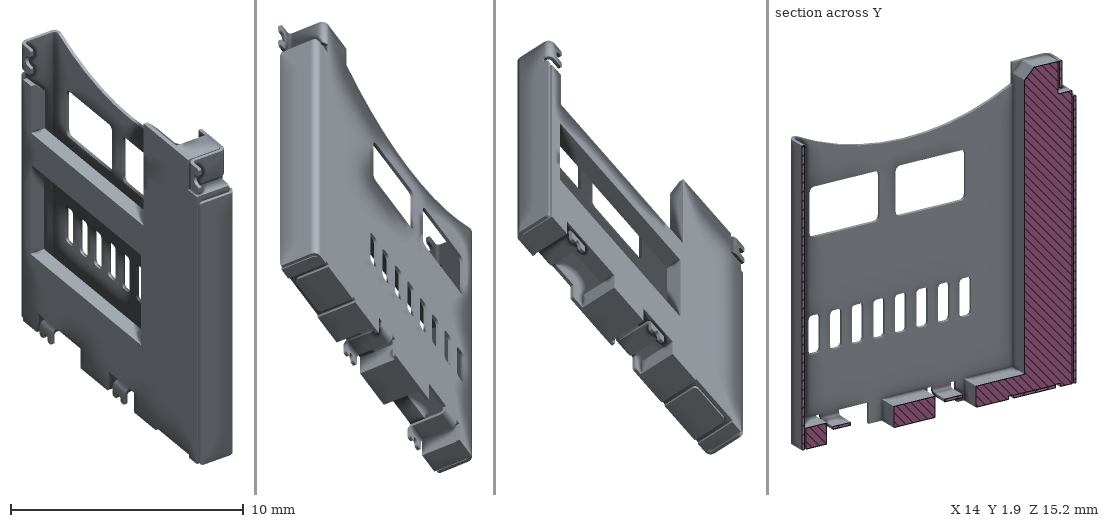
import cadquery as cq
import math


width = 14.0
height = 15.2
total_depth = 1.9
back_y = total_depth / 2
half_width = width / 2

sheet = 0.15
bend_inner = 0.15
bend_outer = bend_inner + sheet
wall_depth = 1.81
wall_corner_radius = 0.17
left_wall_top = 14.2
left_wall_shoulder = 12.59
left_neck_depth = 1.54
right_wall_top = 13.4

finger_cutout_radius = 12.01
finger_cutout_x = -1.12
finger_cutout_bottom = 12.86
tower_plate_left = 4.35
view_window_size = (3.57, 2.35)
view_window_bottom = 9.33
view_window_centers = (-4.21, 0.18)
view_window_radius = 0.25
slot_count = 8
slot_row_span = 7.7
slot_pitch = slot_row_span / (slot_count - 1)
slot_size = (0.6, 1.81)
slot_bottom = 3.89
slot_radius = 0.18
slots_center_x = -1.9

lip_reach = 0.85
lip_width = 1.29
lip_notch_width = 0.5
lip_notch_depth = 0.4
foot_reach = 0.76
foot_width = 0.93
foot_notch_width = 0.3
foot_notch_depth = 0.3
tip_radius = 0.1
foot_gap = 0.26
left_foot_x = -4.95
right_foot_x = 0.75
left_foot_opening_right = -2.98
right_foot_opening_radius = 0.1
right_lip_x = half_width - lip_reach

flange_left = 3.8
flange_right = 5.96
flange_depth = 1.67
flange_corner_radius = 0.2
flange_gap = 0.23

side_clearance = 0.053
housing_half_width = half_width - sheet - side_clearance
tower_right = right_lip_x - side_clearance
housing_depth = 1.85
right_shoulder = 13.68
left_horn_top = 12.35
mouth_left = -6.15
mouth_right = 2.65
mouth_bottom = 9.95
cavity_depth = 1.15
cavity_right = 4.36
lead_in = 0.5
floor_height = 1.0
contact_window = (-6.22, 2.43, 3.74, 8.35)
left_foot_bay = (-5.72, -2.31)
right_foot_bay = (-0.2, 1.88)
foot_opening_height = floor_height

select_margin = 0.02


def block(x0, x1, depth0, depth1, z0, z1):
    """Box between two X, two depth and two Z limits."""
    return cq.Workplane("XY").box(x1 - x0, depth1 - depth0, z1 - z0, centered=False).translate(
        (x0, back_y - depth1, z0)
    )


def near(x, depth, z0, z1):
    """Selector for edges centred close to one X and depth, between two Z limits."""
    y = back_y - depth
    low_corner = (x - select_margin, y - select_margin, z0 - select_margin)
    high_corner = (x + select_margin, y + select_margin, z1 + select_margin)
    return cq.selectors.BoxSelector(low_corner, high_corner)


def quarter_arc(profile, center, radius, start, end):
    """Continue a profile along a circle about `center`, from one angle to another in degrees."""

    def on_circle(degrees):
        angle = math.radians(degrees)
        return (center[0] + radius * math.cos(angle), center[1] + radius * math.sin(angle))

    return profile.threePointArc(on_circle((start + end) / 2), on_circle(end))


def back_bend(strip_width):
    """Sheet turning from the back plate (local -X) to the depth direction."""
    profile = cq.Workplane("XY").moveTo(-bend_inner, 0)
    profile = quarter_arc(profile, (-bend_inner, bend_outer), bend_outer, -90, 0)
    profile = profile.lineTo(0, bend_outer)
    profile = quarter_arc(profile, (-bend_inner, bend_outer), bend_inner, 0, -90)
    return profile.close().extrude(strip_width / 2, both=True)


def solder_lip(reach, strip_width, notch_width, notch_depth):
    """Strip running forward, turning to local +X and ending in a tip with a round-bottomed notch."""
    bend_start = total_depth - bend_outer
    profile = cq.Workplane("XY").moveTo(0, bend_outer).lineTo(sheet, bend_outer).lineTo(sheet, bend_start)
    profile = quarter_arc(profile, (bend_outer, bend_start), bend_inner, 180, 90)
    profile = profile.lineTo(reach, total_depth - sheet).lineTo(reach, total_depth)
    profile = profile.lineTo(bend_outer, total_depth)
    profile = quarter_arc(profile, (bend_outer, bend_start), bend_outer, 90, 180)
    lip = profile.close().extrude(strip_width / 2, both=True)
    slot_length = 2 * notch_depth
    notch = (
        cq.Workplane("XZ", origin=(reach, total_depth - bend_outer, 0))
        .slot2D(slot_length, notch_width)
        .extrude(-2 * bend_outer)
    )
    return lip.cut(notch).edges("|Y and >X").fillet(tip_radius)


def placed(body, origin, tip_direction, across):
    """Move a bent piece from its local axes to the shell."""
    plane = cq.Plane(origin=origin, xDir=tip_direction, normal=across)
    return cq.Workplane(body.val().moved(cq.Location(plane)))


def back_plate():
    plate_edge = half_width - bend_outer
    arc_center_z = finger_cutout_bottom + finger_cutout_radius

    def arc_z(x):
        return arc_center_z - math.sqrt(finger_cutout_radius**2 - (x - finger_cutout_x) ** 2)

    arc_left = finger_cutout_x - math.sqrt(
        finger_cutout_radius**2 - (arc_center_z - left_wall_top) ** 2
    )
    plate = (
        cq.Workplane("XZ", origin=(0, back_y, 0))
        .moveTo(-plate_edge, 0)
        .lineTo(plate_edge, 0)
        .lineTo(plate_edge, right_wall_top)
        .lineTo(right_lip_x - bend_inner, right_wall_top)
        .lineTo(right_lip_x - bend_inner, height)
        .lineTo(tower_plate_left, height)
        .lineTo(tower_plate_left, arc_z(tower_plate_left))
        .threePointArc((finger_cutout_x, finger_cutout_bottom), (arc_left, left_wall_top))
        .lineTo(-plate_edge, left_wall_top)
        .close()
        .extrude(sheet)
    )
    for center_x in view_window_centers:
        plate = plate.cut(rounded_opening(center_x, view_window_bottom, view_window_size, view_window_radius))
    for index in range(slot_count):
        center_x = slots_center_x - slot_row_span / 2 + index * slot_pitch
        plate = plate.cut(rounded_opening(center_x, slot_bottom, slot_size, slot_radius))
    return plate


def rounded_opening(center_x, bottom, size, radius):
    """Cutter for a round-cornered opening through the back plate."""
    opening_width, opening_height = size
    left = center_x - opening_width / 2
    cutter = block(left, left + opening_width, 0, sheet, bottom, bottom + opening_height)
    return cutter.edges("|Y").fillet(radius)


def side_wall(side, plate_corner_top, wall_top):
    """Side wall with its bend to the back plate; `side` is -1 for left and 1 for right."""
    wall = block(half_width - sheet, half_width, bend_outer, wall_depth, 0, wall_top)
    wall = wall.edges("|X and <Y").fillet(wall_corner_radius)
    origin = (half_width - sheet, back_y, plate_corner_top / 2)
    corner = placed(back_bend(plate_corner_top), origin, (1, 0, 0), (0, 0, -1))
    wall = wall.union(corner)
    if side < 0:
        wall = wall.mirror("YZ")
    return wall


def add_side_lips(shell):
    lip = solder_lip(lip_reach, lip_width, lip_notch_width, lip_notch_depth)
    neck = block(-half_width, sheet - half_width, bend_outer, left_neck_depth, 0, left_wall_top)
    shell = shell.union(neck)
    left_origin = (-half_width, back_y, left_wall_top - lip_width / 2)
    right_origin = (right_lip_x, back_y, height - lip_width / 2)
    for origin in (left_origin, right_origin):
        shell = shell.union(placed(lip, origin, (1, 0, 0), (0, 0, -1)))
    return shell.union(placed(back_bend(lip_width), right_origin, (1, 0, 0), (0, 0, -1)))


def add_feet(shell):
    half_opening = foot_width / 2 + foot_gap
    openings = (
        (left_foot_x - half_opening, left_foot_opening_right),
        (right_foot_x - half_opening, right_foot_x + half_opening),
    )
    for left, right in openings:
        shell = shell.cut(block(left, right, 0, sheet, 0, foot_opening_height))
    right_opening_left, right_opening_right = openings[1]
    opening_corners = near(right_opening_left, sheet / 2, 0, 0) + near(right_opening_right, sheet / 2, 0, 0)
    shell = shell.edges(opening_corners).fillet(right_foot_opening_radius)
    half_foot = foot_width / 2
    root_bottom = foot_reach + bend_inner
    foot = solder_lip(foot_reach, foot_width, foot_notch_width, foot_notch_depth)
    foot = foot.union(back_bend(foot_width))
    for center_x in (left_foot_x, right_foot_x):
        root = block(center_x - half_foot, center_x + half_foot, 0, sheet, root_bottom, foot_opening_height)
        shell = shell.union(root)
        shell = shell.union(placed(foot, (center_x, back_y, foot_reach), (0, 0, -1), (-1, 0, 0)))
    return shell


def add_bottom_flange(shell):
    relief = block(flange_left - flange_gap, flange_right + flange_gap, 0, sheet, 0, sheet)
    flange = block(flange_left, flange_right, 0, flange_depth, 0, sheet)
    flange = flange.edges("|Z and <Y").fillet(flange_corner_radius)
    return shell.cut(relief).union(flange)


def make_shell():
    shell = back_plate()
    shell = shell.union(side_wall(-1, left_wall_top, left_wall_shoulder))
    shell = shell.union(side_wall(1, right_wall_top, right_wall_top))
    shell = add_side_lips(shell)
    shell = add_feet(shell)
    return add_bottom_flange(shell)


def housing_body():
    return (
        cq.Workplane("XZ", origin=(0, back_y - sheet, 0))
        .moveTo(-housing_half_width, 0)
        .lineTo(housing_half_width, 0)
        .lineTo(housing_half_width, right_shoulder)
        .lineTo(tower_right, right_shoulder)
        .lineTo(tower_right, height)
        .lineTo(mouth_right, height)
        .lineTo(mouth_right, mouth_bottom)
        .lineTo(mouth_left, mouth_bottom)
        .lineTo(mouth_left, left_horn_top)
        .lineTo(-housing_half_width, left_horn_top)
        .close()
        .extrude(housing_depth - sheet)
    )


def cut_card_cavity(housing):
    """Card space open to the back plate, with a sloped lead-in at its two entry ends."""
    housing = housing.cut(
        block(-housing_half_width, cavity_right, sheet, cavity_depth, floor_height, height)
    )
    horn_center = (mouth_left - housing_half_width) / 2
    tower_center = (mouth_right + cavity_right) / 2
    side_center_depth = (sheet + cavity_depth) / 2
    entry_edges = (
        near(horn_center, cavity_depth, left_horn_top, left_horn_top)
        + near(tower_center, cavity_depth, height, height)
        + near(cavity_right, side_center_depth, height, height)
    )
    return housing.edges(entry_edges).chamfer(lead_in)


def round_back_edges(housing):
    """Back edges follow the inside of the shell's bends."""
    corner_edges = (
        near(-housing_half_width, sheet, 0, floor_height)
        + near(housing_half_width, sheet, 0, right_shoulder)
        + near(tower_right, sheet, right_shoulder, height)
    )
    return housing.edges(corner_edges).fillet(bend_inner)


def cut_openings(housing):
    left, right, bottom, top = contact_window
    housing = housing.cut(block(left, right, cavity_depth, housing_depth, bottom, top))
    for bay_left, bay_right in (left_foot_bay, right_foot_bay):
        housing = housing.cut(block(bay_left, bay_right, sheet, housing_depth, 0, foot_opening_height))
    return housing.cut(
        block(flange_left - flange_gap, flange_right + flange_gap, sheet, housing_depth, 0, sheet)
    )


def make_housing():
    housing = housing_body()
    housing = cut_card_cavity(housing)
    housing = round_back_edges(housing)
    return cut_openings(housing)


shell = make_shell()
housing = make_housing()
result = cq.Compound.makeCompound([shell.solids().val(), housing.solids().val()])